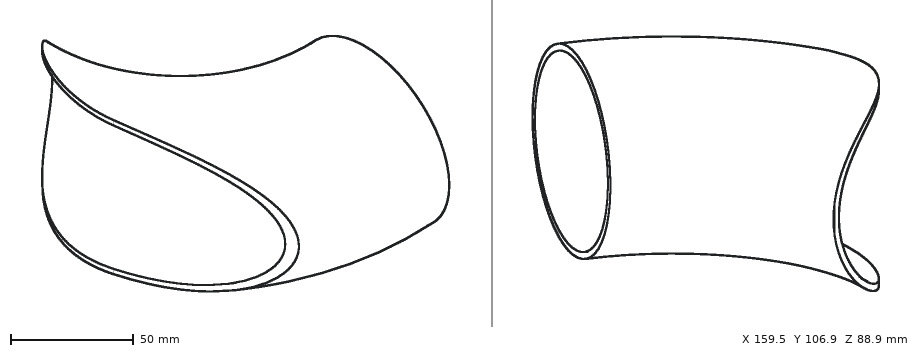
import math

import cadquery as cq

PIPE_DIAMETER = 88.9
WALL = 2.9
BEND_RADIUS = 115.0
BEND_ANGLE = 90.0

SADDLE_RADIUS = 57.15
SADDLE_LOWEST_Y = -106.9
SEAM_X = 69.7
FLAT_ARC_RADIUS = 285.75
TIP_FLAT_WIDTH = 0.6
CUT_MARGIN = 20.0

pipe_radius = PIPE_DIAMETER / 2
bore_radius = pipe_radius - WALL
inside_bend_radius = BEND_RADIUS - pipe_radius
outside_bend_radius = BEND_RADIUS + pipe_radius


def make_elbow():
    """Quarter-turn pipe bend from its full open end on +X round to the -Y direction."""
    section = cq.Workplane("XZ").center(BEND_RADIUS, 0).circle(pipe_radius).circle(bore_radius)
    axis_start = (-BEND_RADIUS, 0)
    axis_end = (-BEND_RADIUS, -1)
    return section.revolve(BEND_ANGLE, axis_start, axis_end)


def make_saddle_cutter():
    """Solid below the two-arc cut curve; it removes the lower side of the elbow."""
    tip_y = -inside_bend_radius - TIP_FLAT_WIDTH
    saddle_center_y = SADDLE_LOWEST_Y + SADDLE_RADIUS
    saddle_center_x = math.sqrt(SADDLE_RADIUS**2 - (tip_y - saddle_center_y) ** 2)
    saddle_left_x = saddle_center_x - SADDLE_RADIUS

    seam_angle = math.asin((SEAM_X - saddle_center_x) / SADDLE_RADIUS)
    seam_y = saddle_center_y - SADDLE_RADIUS * math.cos(seam_angle)
    flat_center_x = SEAM_X - FLAT_ARC_RADIUS * math.sin(seam_angle)
    flat_center_y = seam_y + FLAT_ARC_RADIUS * math.cos(seam_angle)

    right_x = outside_bend_radius + CUT_MARGIN
    right_y = flat_center_y - math.sqrt(FLAT_ARC_RADIUS**2 - (right_x - flat_center_x) ** 2)
    bottom_y = -outside_bend_radius - CUT_MARGIN
    half_height = pipe_radius + CUT_MARGIN

    return (
        cq.Workplane("XY")
        .moveTo(saddle_left_x, saddle_center_y)
        .threePointArc((saddle_center_x, SADDLE_LOWEST_Y), (SEAM_X, seam_y))
        .tangentArcPoint((right_x, right_y), relative=False)
        .lineTo(right_x, bottom_y)
        .lineTo(saddle_left_x, bottom_y)
        .close()
        .extrude(half_height, both=True)
    )


result = make_elbow().cut(make_saddle_cutter())